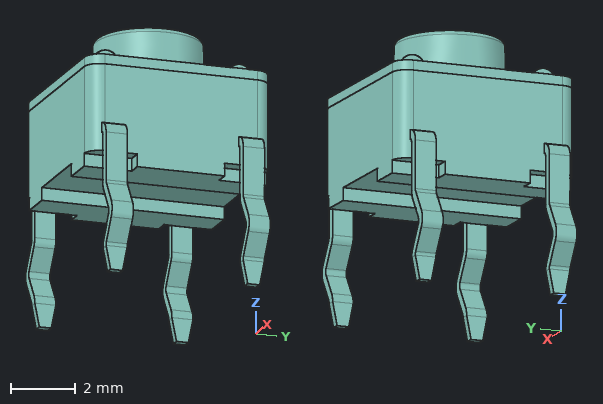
import cadquery as cq
import math

body_side = 6.0
corner_radius = 1.0 / 2
block_height = 3.53
body_bottom = 3.53
cover_thickness = 0.32
foot_height = 0.41
channel_width = 2.685
foot_corner_y = 1.44
rivet_diameter = 0.75
rivet_offset = 2.2

button_diameter = 3.5
button_draft = 1.2
button_edge_radius = 0.15
overall_height = 8.55

overall_width = 7.89
leg_width = 0.7
leg_thickness = 0.3
leg_outer_x = 3.395
leg_pitch = 4.51
leg_top = 4.83
shoulder_inner_radius = 0.1
kink_inner_radius = 0.205
kink_angle = math.radians(33)
tip_length = 0.76
tip_end_width = 0.4

half_side = body_side / 2
body_top = body_bottom + block_height
cover_bottom = body_top - cover_thickness
leg_x = leg_outer_x - leg_thickness / 2


def rounded_block(bottom, top):
    """Square block with rounded vertical corners between two heights."""
    block = cq.Workplane("XY", origin=(0, 0, bottom)).rect(body_side, body_side).extrude(top - bottom)
    return block.edges("|Z").fillet(corner_radius)


def centred_box(size_x, size_y, bottom, height, x=0.0, y=0.0):
    """Box standing on the given height, centred on (x, y)."""
    return cq.Workplane("XY", origin=(x, y, bottom)).rect(size_x, size_y).extrude(height)


def leg():
    """One leg on the +X side at Y = 0: shoulder bend, outward kink, tapered tip."""
    shoulder_radius = shoulder_inner_radius + leg_thickness / 2
    kink_radius = kink_inner_radius + leg_thickness / 2

    kink_reach = overall_width / 2 - leg_outer_x
    arc_reach = kink_radius * (1 - math.cos(kink_angle))
    arc_drop = kink_radius * math.sin(kink_angle)
    run_reach = kink_reach - 2 * arc_reach
    run_drop = run_reach / math.tan(kink_angle)

    root_x = half_side - corner_radius
    root_z = leg_top - leg_thickness / 2
    kink_top = tip_length + 2 * run_drop + 4 * arc_drop
    centreline = (
        cq.Workplane("XZ")
        .moveTo(root_x, root_z)
        .lineTo(leg_x - shoulder_radius, root_z)
        .tangentArcPoint((shoulder_radius, -shoulder_radius))
        .lineTo(leg_x, kink_top)
        .tangentArcPoint((arc_reach, -arc_drop))
        .line(run_reach, -run_drop)
        .tangentArcPoint((0, -2 * arc_drop))
        .line(-run_reach, -run_drop)
        .tangentArcPoint((-arc_reach, -arc_drop))
    )
    strip = cq.Workplane("YZ", origin=(root_x, 0, root_z)).rect(leg_width, leg_thickness).sweep(centreline)

    tip = (
        cq.Workplane("YZ", origin=(leg_x, 0, 0))
        .polyline([
            (-tip_end_width / 2, 0),
            (tip_end_width / 2, 0),
            (leg_width / 2, tip_length),
            (-leg_width / 2, tip_length),
        ])
        .close()
        .extrude(leg_thickness / 2, both=True)
    )
    return strip.union(tip)


def make_housing():
    """Block with a channel and relieved corners underneath, and its four legs."""
    housing = rounded_block(body_bottom, cover_bottom)
    housing = housing.cut(centred_box(channel_width, body_side, body_bottom, foot_height))

    relief_length = half_side - foot_corner_y
    relief_x = half_side - corner_radius / 2
    relief_y = half_side - relief_length / 2
    for side_x in (-1, 1):
        for side_y in (-1, 1):
            relief = centred_box(
                corner_radius, relief_length, body_bottom, foot_height, side_x * relief_x, side_y * relief_y
            )
            housing = housing.cut(relief)

    right_leg = leg()
    left_leg = right_leg.mirror("YZ")
    for side_y in (-1, 1):
        for one_leg in (left_leg, right_leg):
            housing = housing.union(one_leg.translate((0, side_y * leg_pitch / 2, 0)))
    return housing


def make_cover():
    """Plate on top of the housing with a domed rivet head near each corner."""
    cover = rounded_block(cover_bottom, body_top)
    rivet_heads = (
        cq.Workplane("XY", origin=(0, 0, body_top))
        .rect(2 * rivet_offset, 2 * rivet_offset, forConstruction=True)
        .vertices()
        .eachpoint(cq.Solid.makeSphere(rivet_diameter / 2, angleDegrees1=0), True)
    )
    return cover.union(rivet_heads)


def make_button():
    """Slightly drafted round button with a rounded top edge, standing on the cover."""
    button = (
        cq.Workplane("XY", origin=(0, 0, body_top))
        .circle(button_diameter / 2)
        .extrude(overall_height - body_top, taper=button_draft)
    )
    return button.faces(">Z").edges().fillet(button_edge_radius)


housing = make_housing()
cover = make_cover()
button = make_button()

result = cq.Compound.makeCompound([housing.val(), cover.val(), button.val()])